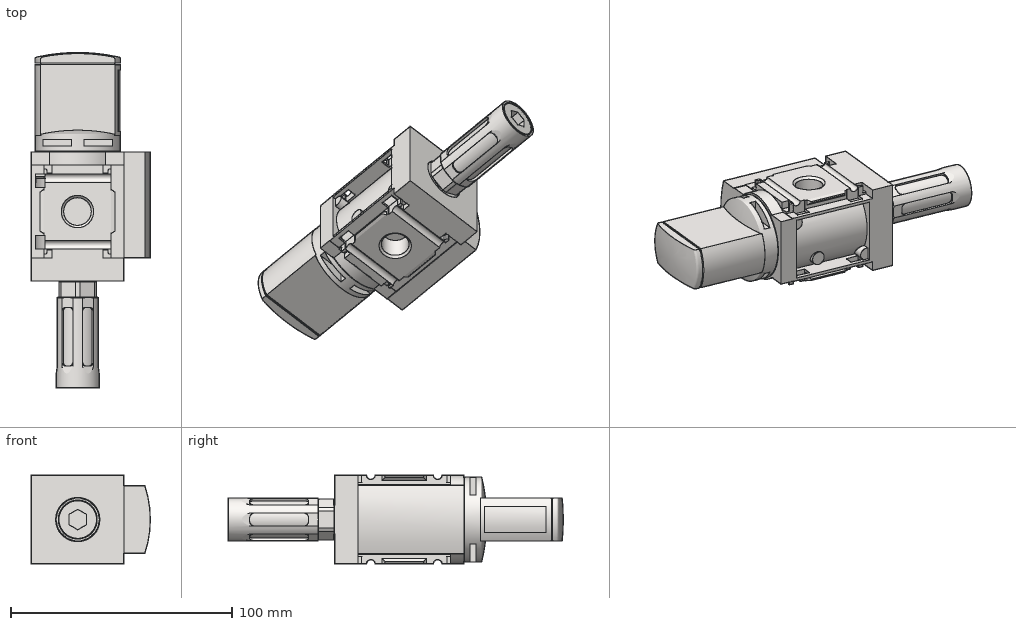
import cadquery as cq
import math


BLOCK_WIDTH = 42.0
BLOCK_HEIGHT = 40.2
HALF_WIDTH = BLOCK_WIDTH / 2
HALF_HEIGHT = BLOCK_HEIGHT / 2
BLOCK_FRONT_Y = -31.5
BLOCK_REAR_Y = 27.0
STRIP_Y = 21.0
STRIP_Z = 15.8
SHOULDER_Z = 15.6
AXIS_X = 0.12

PAD_HALF_WIDTH = 15.2
PORT_DIAMETER = 12.5
PORT_MOUTH_DIAMETER = 14.6
PORT_DEPTH = 12.0
GROOVE_Y = 15.1
GROOVE_RADIUS = 1.9
TAB_REACH = 1.7
TAB_HALF_LENGTH = 10.0
TAB_TIP_HALF_LENGTH = 8.8
TAB_TOP_DROP = 0.4
TAB_SIDE_DROP = 1.1
TAB_ROOT_DROP = 2.5
NOTCH_WIDTH = 3.7
NOTCH_INNER_Y = 17.4
NOTCH_DEPTH = 3.4
POST_WIDTH = 1.4
POST_LENGTH = 1.9
POST_CHAMFER = 0.6
WINDOW_LEFT_X = -18.9
WINDOW_RIGHT_X = -14.6
WINDOW_INNER_Y = 10.95
WINDOW_OUTER_Y = 17.05

CAVITY_FRONT_Y = -19.4
CAVITY_REAR_Y = 18.8
CAVITY_HALF_HEIGHT = 14.4
CORE_RADIUS = 18.8
STUB_DIAMETER = 6.1
STUB_Y = 6.0
STUB_Z = -8.6
STUB_FACE_X = -18.6
BOSS_DIAMETER = 5.8
BOSS_FACE_X = -19.5
BOSS_Z = 11.9
BOSS_REAR_Y = 17.9
BOSS_FRONT_Y = -18.5

COVER_RIGHT_X = 33.0
COVER_EDGE_X = 30.5
COVER_HALF_HEIGHT = 15.3

KNOB_RADIUS = 38.8 / 2
FLANGE_RADIUS = 19.3
NECK_RADIUS = 18.8
NECK_LENGTH = 0.35
FLANGE_EDGE_Y = 35.0
FLANGE_APEX_Y = 37.4
FLANGE_ROUNDING = 0.15
GRIP_START_Y = 34.4
GRIP_HALF_HEIGHT = 9.75
KNOB_EDGE_Y = 69.7
KNOB_END_Y = 72.0
KNOB_ROUNDING = 1.0
CAP_GROOVE_Y = 66.8
CAP_GROOVE_WIDTH = 0.6
CAP_GROOVE_DEPTH_Z = 0.4
FLANGE_SLOT_FRONT_Y = 29.7
FLANGE_SLOT_REAR_Y = 32.5
FLANGE_SLOT_INNER_X = 2.8
FLANGE_SLOT_FLOOR_Z = 11.1
LABEL_HALF_HEIGHT = 5.8
LABEL_FRONT_Y = 36.2
LABEL_REAR_Y = 64.1
LABEL_DEPTH = 0.25

RECESS_DIAMETER = 20.0
RECESS_DEPTH = 1.0
STUD_DIAMETER = 13.16
STUD_END_Y = -22.0
HEX_ACROSS_FLATS = 17.0
HEX_ROUND_DIAMETER = 18.6
HEX_GAP = 0.3
BARREL_DIAMETER = 19.5
BARREL_REAR_Y = -38.7
BARREL_FRONT_Y = -79.7
BARREL_CHAMFER_LENGTH = 0.9
BARREL_CHAMFER_RISE = 0.4
FLAT_COUNT = 6
FLAT_WIDTH = 5.9
FLUTE_REAR_Y = -43.3
FLUTE_FRONT_Y = -69.9
FLUTE_CORNER = 2.2
FLUTE_FLOOR_DIAMETER = 17.0
RUNOUT_LENGTH = 3.4
END_DISC_DIAMETER = 17.0
END_GROOVE_WIDTH = 0.3
END_GROOVE_DEPTH = 0.6
KEY_ACROSS_FLATS = 8.0
KEY_DEPTH = 5.0

OVERLAP = 0.5


def box(x, y, z):
    """Box between the two limits given for each axis."""
    size = (x[1] - x[0], y[1] - y[0], z[1] - z[0])
    return cq.Workplane("XY").box(*size, centered=False).translate((x[0], y[0], z[0]))


def cylinder_x(diameter, y, z, x_limits):
    """Cylinder along X."""
    start = cq.Workplane("YZ", origin=(x_limits[0], y, z))
    return start.circle(diameter / 2).extrude(x_limits[1] - x_limits[0])


def cylinder_y(diameter, x, y_limits):
    """Cylinder along Y in the mid plane Z = 0."""
    start = cq.Workplane("XZ", origin=(x, y_limits[1], 0))
    return start.circle(diameter / 2).extrude(y_limits[1] - y_limits[0])


def hexagon_y(across_flats, y_limits):
    """Hexagonal bar on the knob axis, with corners up and down."""
    across_corners = across_flats / math.cos(math.pi / 6)
    start = cq.Workplane("XZ", origin=(AXIS_X, y_limits[1], 0)).transformed(rotate=(0, 0, 30))
    return start.polygon(6, across_corners).extrude(y_limits[1] - y_limits[0])


def both_sides(shape):
    """The shape joined with its mirror image below the mid plane Z = 0."""
    return shape.union(shape.mirror("XY"))


def block_outline():
    """Front block and pad at full height, stepped side strips, and a rear end rounded between shoulders."""
    full_z = (-HALF_HEIGHT, HALF_HEIGHT)
    front = box((-HALF_WIDTH, HALF_WIDTH), (BLOCK_FRONT_Y, -STRIP_Y), full_z)
    pad = box((-PAD_HALF_WIDTH, PAD_HALF_WIDTH), (-STRIP_Y, STRIP_Y), full_z)
    strips = box((-HALF_WIDTH, HALF_WIDTH), (-STRIP_Y, STRIP_Y), (-STRIP_Z, STRIP_Z))
    shoulders = box((-HALF_WIDTH, HALF_WIDTH), (STRIP_Y, BLOCK_REAR_Y), (-SHOULDER_Z, SHOULDER_Z))
    rear = cylinder_y(BLOCK_HEIGHT, 0, (STRIP_Y, BLOCK_REAR_Y))
    return front.union(pad).union(strips).union(shoulders).union(rear)


def pad_tab():
    """Clamping tab along the left edge of the top pad, undercut and tapered at both ends."""
    root_x = -PAD_HALF_WIDTH + OVERLAP
    tip_x = -PAD_HALF_WIDTH - TAB_REACH
    profile = [
        (root_x, HALF_HEIGHT),
        (-PAD_HALF_WIDTH, HALF_HEIGHT),
        (tip_x, HALF_HEIGHT - TAB_TOP_DROP),
        (tip_x, HALF_HEIGHT - TAB_SIDE_DROP),
        (-PAD_HALF_WIDTH, HALF_HEIGHT - TAB_ROOT_DROP),
        (root_x, HALF_HEIGHT - TAB_ROOT_DROP),
    ]
    bar = cq.Workplane("XZ").polyline(profile).close().extrude(TAB_HALF_LENGTH, both=True)
    plan = [
        (root_x, -TAB_HALF_LENGTH),
        (-PAD_HALF_WIDTH, -TAB_HALF_LENGTH),
        (tip_x, -TAB_TIP_HALF_LENGTH),
        (tip_x, TAB_TIP_HALF_LENGTH),
        (-PAD_HALF_WIDTH, TAB_HALF_LENGTH),
        (root_x, TAB_HALF_LENGTH),
    ]
    return bar.intersect(cq.Workplane("XY").polyline(plan).close().extrude(HALF_HEIGHT))


def pad_notch():
    """Cutter for the notch at the rear left corner of the top pad; a small post stays standing in it."""
    z = (HALF_HEIGHT - NOTCH_DEPTH, HALF_HEIGHT)
    left = -PAD_HALF_WIDTH
    notch = box((left, left + NOTCH_WIDTH), (NOTCH_INNER_Y, STRIP_Y), z)
    post = box((left, left + POST_WIDTH), (NOTCH_INNER_Y, NOTCH_INNER_Y + POST_LENGTH), z)
    post = post.edges("|Z and >X and >Y").chamfer(POST_CHAMFER)
    return notch.cut(post)


def pad_cuts():
    """Cutters for the port, the two grooves, the corner notches and the two windows of the top pad."""
    port_floor_z = HALF_HEIGHT - PORT_DEPTH
    cuts = cq.Workplane("XY", origin=(0, 0, port_floor_z)).circle(PORT_DIAMETER / 2).extrude(PORT_DEPTH)
    mouth_depth = (PORT_MOUTH_DIAMETER - PORT_DIAMETER) / 2
    mouth = cq.Workplane("XY", origin=(0, 0, HALF_HEIGHT)).circle(PORT_MOUTH_DIAMETER / 2)
    mouth = mouth.workplane(offset=-mouth_depth).circle(PORT_DIAMETER / 2).loft()
    cuts = cuts.union(mouth)
    notch = pad_notch()
    notch_pair = notch.union(notch.mirror("YZ"))
    cuts = cuts.union(notch_pair).union(notch_pair.mirror("XZ"))
    window = box(
        (WINDOW_LEFT_X, WINDOW_RIGHT_X),
        (WINDOW_INNER_Y, WINDOW_OUTER_Y),
        (CAVITY_HALF_HEIGHT - OVERLAP, HALF_HEIGHT),
    )
    cuts = cuts.union(window).union(window.mirror("XZ"))
    pad_x = (-PAD_HALF_WIDTH, PAD_HALF_WIDTH)
    for y in (-GROOVE_Y, GROOVE_Y):
        cuts = cuts.union(cylinder_x(2 * GROOVE_RADIUS, y, HALF_HEIGHT, pad_x))
    return cuts


def cavity():
    """Cutter for the left side cavity; the core, a round stub and two corner bosses stay standing in it."""
    y_limits = (CAVITY_FRONT_Y, CAVITY_REAR_Y)
    space = box((-HALF_WIDTH, 0), y_limits, (-CAVITY_HALF_HEIGHT, CAVITY_HALF_HEIGHT))
    space = space.cut(cylinder_y(2 * CORE_RADIUS, 0, y_limits))
    space = space.cut(cylinder_x(STUB_DIAMETER, STUB_Y, STUB_Z, (STUB_FACE_X, 0)))
    space = space.cut(cylinder_x(BOSS_DIAMETER, BOSS_REAR_Y, BOSS_Z, (BOSS_FACE_X, 0)))
    return space.cut(cylinder_x(BOSS_DIAMETER, BOSS_FRONT_Y, -BOSS_Z, (BOSS_FACE_X, 0)))


def cover():
    """Side cover with a bulged outer face, running along Y."""
    root_x = HALF_WIDTH - OVERLAP
    outline = (
        cq.Workplane("XZ", origin=(0, BLOCK_REAR_Y, 0))
        .moveTo(root_x, -COVER_HALF_HEIGHT)
        .lineTo(COVER_EDGE_X, -COVER_HALF_HEIGHT)
        .threePointArc((COVER_RIGHT_X, 0), (COVER_EDGE_X, COVER_HALF_HEIGHT))
        .lineTo(root_x, COVER_HALF_HEIGHT)
        .close()
    )
    return outline.extrude(BLOCK_REAR_Y + STRIP_Y)


def domed_cylinder(radius, start_y, edge_y, apex_y, rounding):
    """Cylinder on the knob axis with a domed, rounded rear end."""
    sagitta = apex_y - edge_y
    dome_radius = (radius**2 + sagitta**2) / (2 * sagitta)
    middle_r = radius / 2
    middle_y = apex_y - dome_radius + math.sqrt(dome_radius**2 - middle_r**2)
    profile = (
        cq.Workplane("XY")
        .moveTo(0, start_y)
        .lineTo(radius, start_y)
        .lineTo(radius, edge_y)
        .threePointArc((middle_r, middle_y), (0, apex_y))
        .close()
    )
    solid = profile.revolve(360, (0, 0), (0, 1))
    return solid.faces(">Y").edges("%CIRCLE").fillet(rounding).translate((AXIS_X, 0, 0))


def flange():
    """Round knob flange on a short neck, with four slots that open towards the sides."""
    flange_start_y = BLOCK_REAR_Y + NECK_LENGTH
    body = domed_cylinder(FLANGE_RADIUS, flange_start_y, FLANGE_EDGE_Y, FLANGE_APEX_Y, FLANGE_ROUNDING)
    neck = cylinder_y(2 * NECK_RADIUS, AXIS_X, (BLOCK_REAR_Y - OVERLAP, flange_start_y))
    y_limits = (FLANGE_SLOT_FRONT_Y, FLANGE_SLOT_REAR_Y)
    for side_x in (
        (AXIS_X - KNOB_RADIUS, AXIS_X - FLANGE_SLOT_INNER_X),
        (AXIS_X + FLANGE_SLOT_INNER_X, AXIS_X + KNOB_RADIUS),
    ):
        body = body.cut(both_sides(box(side_x, y_limits, (FLANGE_SLOT_FLOOR_Z, KNOB_RADIUS))))
    return body.union(neck)


def grip():
    """Flat-sided grip with a groove below its end cap and a shallow label recess on the right."""
    full_x = (AXIS_X - KNOB_RADIUS, AXIS_X + KNOB_RADIUS)
    body = domed_cylinder(KNOB_RADIUS, GRIP_START_Y, KNOB_EDGE_Y, KNOB_END_Y, KNOB_ROUNDING)
    clip = box(full_x, (0, KNOB_END_Y + OVERLAP), (-GRIP_HALF_HEIGHT, GRIP_HALF_HEIGHT))
    body = body.intersect(clip)

    groove_y = (CAP_GROOVE_Y - CAP_GROOVE_WIDTH / 2, CAP_GROOVE_Y + CAP_GROOVE_WIDTH / 2)
    core_half_width = math.sqrt(KNOB_RADIUS**2 - GRIP_HALF_HEIGHT**2)
    core_half_height = GRIP_HALF_HEIGHT - CAP_GROOVE_DEPTH_Z
    groove = box(full_x, groove_y, (-GRIP_HALF_HEIGHT, GRIP_HALF_HEIGHT))
    core_x = (AXIS_X - core_half_width, AXIS_X + core_half_width)
    groove = groove.cut(box(core_x, groove_y, (-core_half_height, core_half_height)))

    label_y = (LABEL_FRONT_Y, LABEL_REAR_Y)
    label = box((AXIS_X, full_x[1]), label_y, (-LABEL_HALF_HEIGHT, LABEL_HALF_HEIGHT))
    label = label.cut(cylinder_y(2 * (KNOB_RADIUS - LABEL_DEPTH), AXIS_X, label_y))
    return body.cut(groove).cut(label)


def build_valve():
    """Block, cover and knob as one solid."""
    tab = pad_tab()
    tabs = tab.union(tab.mirror("YZ"))
    recess = cylinder_y(RECESS_DIAMETER, AXIS_X, (BLOCK_FRONT_Y, BLOCK_FRONT_Y + RECESS_DEPTH))
    stud_hole = cylinder_y(STUD_DIAMETER, AXIS_X, (BLOCK_FRONT_Y, STUD_END_Y))
    body = block_outline().union(both_sides(tabs)).cut(both_sides(pad_cuts()))
    body = body.cut(cavity()).cut(recess).cut(stud_hole)
    return body.union(cover()).union(flange()).union(grip())


def barrel_flat():
    """Cutter for the flat on the left of the barrel, with its deeper flute and its sloping front runout."""
    radius = BARREL_DIAMETER / 2
    flat_distance = math.sqrt(radius**2 - (FLAT_WIDTH / 2) ** 2)
    outer_x = AXIS_X - radius
    flat_x = AXIS_X - flat_distance
    profile = [
        (outer_x, BARREL_REAR_Y),
        (flat_x, BARREL_REAR_Y),
        (flat_x, FLUTE_FRONT_Y),
        (outer_x, FLUTE_FRONT_Y - RUNOUT_LENGTH),
    ]
    flat = cq.Workplane("XY").polyline(profile).close().extrude(FLAT_WIDTH, both=True)

    flute_y = (FLUTE_FRONT_Y, FLUTE_REAR_Y)
    flute = box((outer_x, AXIS_X), flute_y, (-FLAT_WIDTH / 2, FLAT_WIDTH / 2))
    flute = flute.edges("|X").fillet(FLUTE_CORNER)
    flute = flute.cut(cylinder_y(FLUTE_FLOOR_DIAMETER, AXIS_X, flute_y))
    return flat.union(flute)


def build_silencer():
    """Stud that fills the hole in the block, hexagon, fluted barrel and a key socket in the end."""
    hexagon_end_y = BLOCK_FRONT_Y - HEX_GAP
    foot_y = (BARREL_REAR_Y, hexagon_end_y)
    foot = hexagon_y(HEX_ACROSS_FLATS, foot_y).intersect(cylinder_y(HEX_ROUND_DIAMETER, AXIS_X, foot_y))
    stud = cylinder_y(STUD_DIAMETER, AXIS_X, (hexagon_end_y, STUD_END_Y))

    barrel = cylinder_y(BARREL_DIAMETER, AXIS_X, (BARREL_FRONT_Y, BARREL_REAR_Y))
    barrel = barrel.faces(">Y").chamfer(BARREL_CHAMFER_RISE, BARREL_CHAMFER_LENGTH)
    flat = barrel_flat()
    for index in range(FLAT_COUNT):
        angle = index * 360 / FLAT_COUNT
        barrel = barrel.cut(flat.rotate((AXIS_X, 0, 0), (AXIS_X, 1, 0), angle))

    groove_y = (BARREL_FRONT_Y, BARREL_FRONT_Y + END_GROOVE_DEPTH)
    groove = cylinder_y(END_DISC_DIAMETER + 2 * END_GROOVE_WIDTH, AXIS_X, groove_y)
    groove = groove.cut(cylinder_y(END_DISC_DIAMETER, AXIS_X, groove_y))
    socket = hexagon_y(KEY_ACROSS_FLATS, (BARREL_FRONT_Y, BARREL_FRONT_Y + KEY_DEPTH))
    return barrel.cut(groove).cut(socket).union(foot).union(stud)


valve = build_valve()
silencer = build_silencer()

result = cq.Compound.makeCompound([valve.val(), silencer.val()])